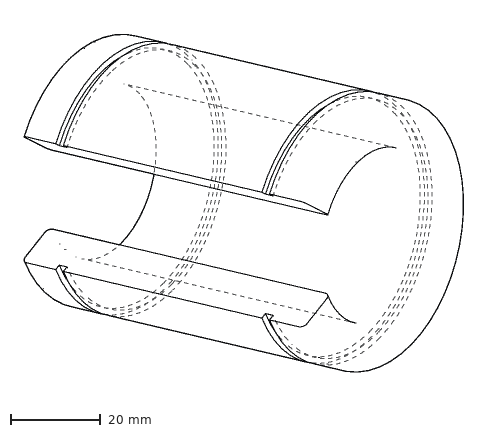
import cadquery as cq
import math

length = 80.0
outer_diameter = 62.0
bore_diameter = 40.0
edge_radius = 1.4

groove_span = 60.6
groove_width = 2.2
groove_diameter = 59.0

gap_angle = 60.0
gap_apex_offset = 1.9
gap_reach = outer_diameter


def tube(outside, inside, tube_length):
    """Tube along X, centred on the origin."""
    profile = cq.Workplane("YZ").circle(outside / 2).circle(inside / 2)
    return profile.extrude(tube_length / 2, both=True)


def gap_wedge():
    """Wedge opening toward -Y along the full length."""
    half_opening = gap_reach * math.tan(math.radians(gap_angle / 2))
    gap_end = -gap_apex_offset - gap_reach
    outline = cq.Workplane("YZ").polyline(
        [
            (-gap_apex_offset, 0),
            (gap_end, half_opening),
            (gap_end, -half_opening),
        ]
    ).close()
    return outline.extrude(length, both=True)


sleeve = tube(outer_diameter, bore_diameter, length)
sleeve = sleeve.faces("<X or >X").edges().fillet(edge_radius)

groove_ring = tube(outer_diameter + groove_width, groove_diameter, groove_width)
groove_position = (groove_span - groove_width) / 2
for side in (-1, 1):
    sleeve = sleeve.cut(groove_ring.translate((side * groove_position, 0, 0)))

result = sleeve.cut(gap_wedge())